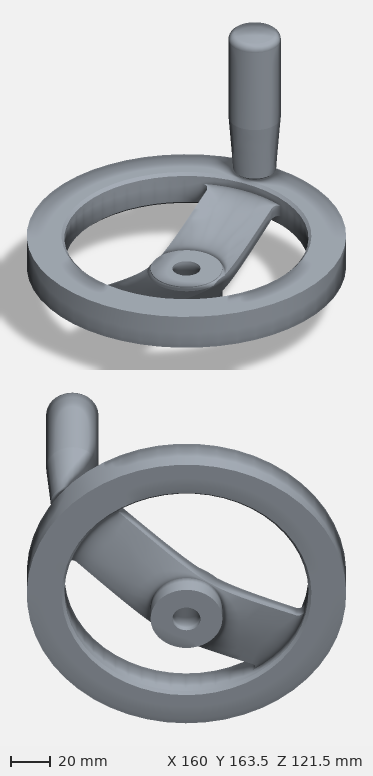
import cadquery as cq
import math


rim_diameter = 160.0
rim_radius = rim_diameter / 2
rim_inner_radius = 61.1
rim_bottom = 21.3
rim_height = 18.0
rim_top = rim_bottom + rim_height
rim_chamfer = 1.5

hub_radius = 18.0
hub_top = 20.1
hub_chamfer_drop = 0.5
bore_radius = 7.0

spoke_width = 37.3
spoke_seat_radius = 19.5
spoke_inner_bottom = 10.1
spoke_inner_top = 18.3
spoke_outer_bottom = 27.3
spoke_outer_top = 33.5
spoke_fillet = 2.8
rim_overlap = 1.6

overall_length = 163.5
overall_height = 121.5
handle_radius = 13.0
handle_y = overall_length - rim_radius - handle_radius
neck_radius = 6.7
neck_height = 2.3
handle_base_radius = 10.8
handle_base_chamfer = 0.8
taper_height = 32.7
handle_shoulder_height = 77.7
dome_radius = 10.3
dome_height = 0.8


def ring(outer_radius, inner_radius, bottom, height):
    return (
        cq.Workplane("XY")
        .workplane(offset=bottom)
        .circle(outer_radius)
        .circle(inner_radius)
        .extrude(height)
    )


def make_rim():
    blank = ring(rim_radius, rim_inner_radius, rim_bottom, rim_height)
    inner_edges = blank.edges("%CIRCLE").edges(cq.selectors.RadiusNthSelector(0))
    return inner_edges.chamfer(rim_chamfer)


def make_width_slab():
    """Block of the spoke width, spanning the whole wheel."""
    return cq.Workplane("XY").box(spoke_width, rim_diameter, rim_top, centered=(True, True, False))


def spin(profile):
    """Close a profile drawn in the YZ plane and revolve it about its vertical axis."""
    return profile.close().revolve(360, (0, 0), (0, 1))


def make_spoke_bar():
    """Intersect the revolved dish with a bar that flares into the rim."""
    dish_profile = (
        cq.Workplane("YZ")
        .moveTo(0, spoke_inner_bottom)
        .lineTo(hub_radius, spoke_inner_bottom)
        .lineTo(rim_inner_radius, spoke_outer_bottom)
        .lineTo(rim_inner_radius + rim_overlap, spoke_outer_bottom)
        .lineTo(rim_inner_radius + rim_overlap, spoke_outer_top)
        .lineTo(rim_inner_radius, spoke_outer_top)
        .lineTo(spoke_seat_radius, spoke_inner_top)
        .lineTo(0, spoke_inner_top)
    )
    surround = ring(rim_radius, rim_inner_radius, 0, rim_top)
    corners = cq.selectors.BoxSelector(
        (-spoke_width, -rim_inner_radius, 0),
        (spoke_width, rim_inner_radius, rim_top),
    )
    flared_bar = make_width_slab().union(surround).edges("|Z").edges(corners).fillet(spoke_fillet)
    return spin(dish_profile).intersect(flared_bar)


def make_hub():
    """Plain lower boss and a low raised seat with a sloping edge."""
    boss = cq.Workplane("XY").circle(hub_radius).extrude(hub_top)
    seat_profile = (
        cq.Workplane("YZ")
        .moveTo(0, spoke_inner_top)
        .lineTo(spoke_seat_radius, spoke_inner_top)
        .lineTo(hub_radius, hub_top - hub_chamfer_drop)
        .lineTo(0, hub_top - hub_chamfer_drop)
    )
    return boss.union(spin(seat_profile).intersect(make_width_slab()))


def make_handle():
    """Revolve the neck, tapered grip, rounded shoulder and shallow dome."""
    grip_bottom = rim_top + neck_height
    shoulder = rim_top + handle_shoulder_height
    dome_base = overall_height - dome_height
    round_mid_radius = dome_radius + (handle_radius - dome_radius) * math.sqrt(0.5)
    round_mid_height = shoulder + (dome_base - shoulder) * math.sqrt(0.5)
    dome_sphere_radius = (dome_radius**2 + dome_height**2) / (2 * dome_height)
    dome_center_height = overall_height - dome_sphere_radius
    dome_mid_radius = dome_radius / 2
    dome_mid_height = dome_center_height + math.sqrt(dome_sphere_radius**2 - dome_mid_radius**2)
    handle_profile = (
        cq.Workplane("YZ")
        .moveTo(0, rim_top - rim_overlap)
        .lineTo(neck_radius, rim_top - rim_overlap)
        .lineTo(neck_radius, grip_bottom)
        .lineTo(handle_base_radius - handle_base_chamfer, grip_bottom)
        .lineTo(handle_base_radius, grip_bottom + handle_base_chamfer)
        .lineTo(handle_radius, rim_top + taper_height)
        .lineTo(handle_radius, shoulder)
        .threePointArc((round_mid_radius, round_mid_height), (dome_radius, dome_base))
        .threePointArc((dome_mid_radius, dome_mid_height), (0, overall_height))
    )
    return spin(handle_profile).translate((0, handle_y, 0))


bore = cq.Workplane("XY").circle(bore_radius).extrude(rim_top)
result = make_rim().union(make_spoke_bar()).union(make_hub()).cut(bore).union(make_handle())